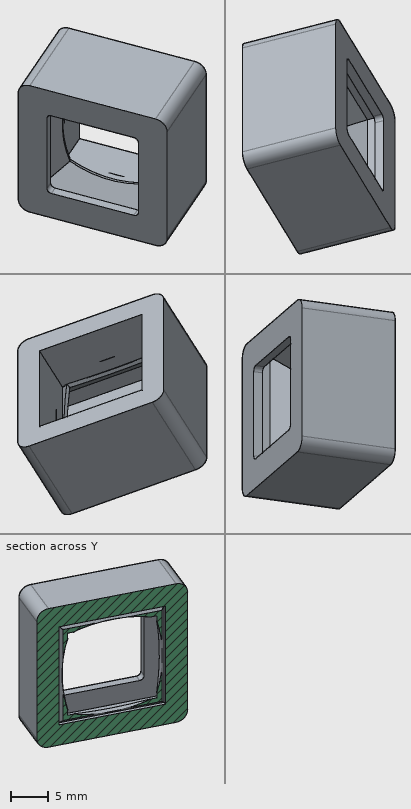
import cadquery as cq
import math

width = 21.84
depth = 13.56
corner_radius = 1.7
front_y = -depth / 2
back_y = depth / 2

opening_width = 13.4
opening_radius = 0.65
rim_depth = 1.27

chamber_width = width - 2 * rim_depth
chamber_start_y = front_y + rim_depth

lip_taper_angle = 45
lip_thickness = 0.78
lip_run = math.tan(math.radians(lip_taper_angle))

throat_half = 6.27
throat_corner_y = 0.14
throat_bow = 1.0
throat_flare_angle = 17
throat_start_y = -1.5
throat_end_y = 1.5

recess_width = 15.32

lip_overrun = 0.5
lip_tip_half = throat_half - lip_overrun


def square_prism(side, start_y, end_y):
    """Square prism centred on the Y axis."""
    return cq.Workplane("XZ", origin=(0, start_y, 0)).rect(side, side).extrude(start_y - end_y)


def lip_front_y(half_width):
    """Y position at which the front of the lip is half_width from the axis."""
    return throat_corner_y - (half_width - throat_half) / lip_run


def lip_frustum(shift_y):
    """Square frustum bounded by the front of the lip, moved back by shift_y."""
    start_y = lip_front_y(chamber_width / 2)
    length = lip_front_y(lip_tip_half) - start_y
    return (
        cq.Workplane("XZ", origin=(0, start_y + shift_y, 0))
        .rect(chamber_width, chamber_width)
        .extrude(-length, taper=lip_taper_angle)
    )


def make_block():
    return square_prism(width, front_y, back_y).edges("|Y").fillet(corner_radius)


def make_opening():
    return square_prism(opening_width, front_y, chamber_start_y).edges("|Y").fillet(opening_radius)


def make_chamber():
    straight = square_prism(chamber_width, chamber_start_y, lip_front_y(chamber_width / 2))
    return straight.union(lip_frustum(0))


def make_recess():
    """Square recess whose floor is the back of the lip."""
    start_y = lip_front_y(recess_width / 2) + lip_thickness
    return square_prism(recess_width, start_y, back_y).cut(lip_frustum(lip_thickness))


def bowed_square(plane, y):
    """Throat outline at y: four corners joined by arcs that bow outwards."""
    corner = throat_half + (y - throat_corner_y) * math.tan(math.radians(throat_flare_angle))
    crown = corner + throat_bow
    return (
        plane.moveTo(-corner, -corner)
        .threePointArc((0, -crown), (corner, -corner))
        .threePointArc((crown, 0), (corner, corner))
        .threePointArc((0, crown), (-corner, corner))
        .threePointArc((-crown, 0), (-corner, -corner))
        .close()
    )


def make_throat():
    start = bowed_square(cq.Workplane("XZ", origin=(0, throat_start_y, 0)), throat_start_y)
    end_plane = start.workplane(offset=throat_start_y - throat_end_y)
    return bowed_square(end_plane, throat_end_y).loft(ruled=True)


result = (
    make_block()
    .cut(make_opening())
    .cut(make_chamber())
    .cut(make_recess())
    .cut(make_throat())
)